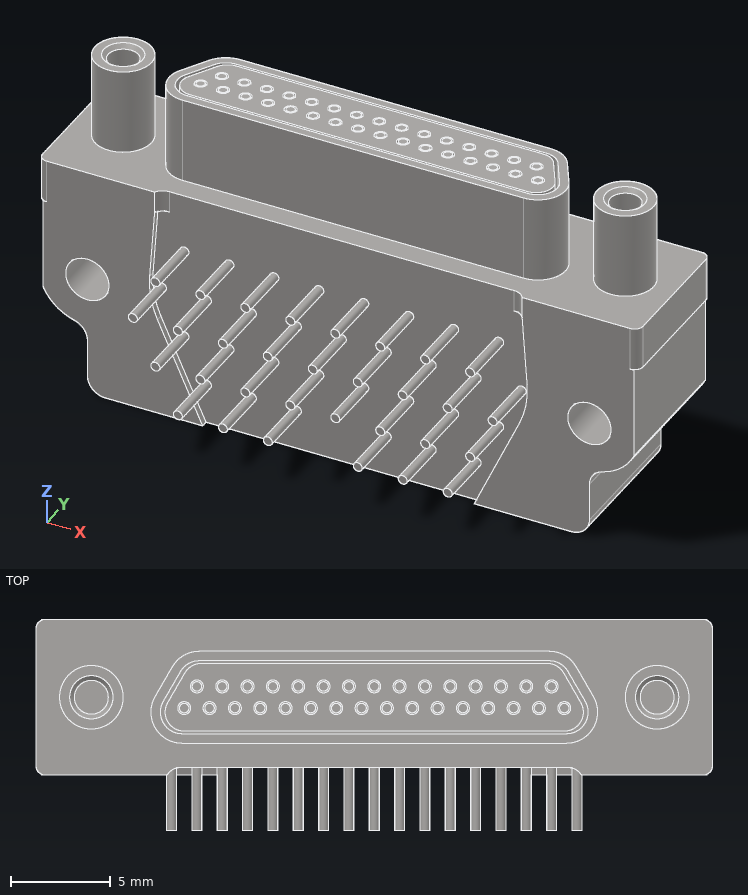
import cadquery as cq
import math


flange_length = 33.9
flange_height = 2.45
flange_corner_radius = 0.47
depth = 7.8
face_y = -depth / 2
body_length = 33.37
body_height = 13.22

mount_x = 14.17
mount_hole_z = -6.4
mount_hole_diameter = 2.45
ear_radius = 2.78
leg_corner_radius = 1.02

recess_depth = 0.37
recess_mouth_half = 10.38
recess_mouth_height = 1.22
recess_mouth_radius = 0.75
recess_wide_half = 10.75
recess_wide_z = -6.45
recess_wide_radius = 5.1
recess_bottom_half = 7.65

mating_height = 4.8

post_diameter = 3.2
post_bore_diameter = 1.7
post_chamfer = 0.25

d_half_height = 0.75
d_wide_half = 9.63
d_side_angle = 30.0
shell_radius = 1.55
shell_wall = 0.47
insert_gap = 0.15
insert_end_setback = 0.1

pin_diameter = 0.5
pin_length = 2.78
longest_pin_row = 9
pin_row_span = 20.3
pin_pitch = pin_row_span / (longest_pin_row - 1)
first_pin_row_z = -3.32

contact_pitch = pin_pitch / 2
contact_row_y = 0.55
contacts_in_narrow_row = 15
contacts_in_wide_row = 16
contact_diameter = 0.47
contact_groove_diameter = 0.65
contact_groove_depth = 0.35


def xz_prism(outline_points, y_start, y_end):
    """Straight-sided prism through Y with a closed XZ outline."""
    outline = cq.Workplane("XZ", origin=(0, y_start, 0)).polyline(outline_points).close()
    return outline.extrude(y_start - y_end)


def d_prism(radius, height, wide_half=d_wide_half):
    """D-shaped prism standing on the flange face."""
    narrow_half = wide_half - 2 * d_half_height * math.tan(math.radians(d_side_angle))
    corner_centres = [
        (-wide_half, -d_half_height),
        (wide_half, -d_half_height),
        (narrow_half, d_half_height),
        (-narrow_half, d_half_height),
    ]
    outline = cq.Workplane("XY").polyline(corner_centres).close().offset2D(radius)
    return outline.extrude(height)


def make_flange():
    """Plate with rounded corners behind the mating face."""
    flange = cq.Workplane("XY").rect(flange_length, depth).extrude(-flange_height)
    return flange.edges("|Z").fillet(flange_corner_radius)


def make_lower_body():
    """Ears and narrower leg; concave arcs blend each ear into the side of the leg."""
    side = body_length / 2
    ear_start_z = mount_hole_z - math.sqrt(ear_radius**2 - (side - mount_x) ** 2)
    blend_x = mount_x + leg_corner_radius
    blend_reach = ear_radius + leg_corner_radius
    blend_z = mount_hole_z - math.sqrt(blend_reach**2 - leg_corner_radius**2)
    ear_share = ear_radius / blend_reach
    ear_end = (
        mount_x + ear_share * (blend_x - mount_x),
        mount_hole_z + ear_share * (blend_z - mount_hole_z),
    )

    half_outline = (
        cq.Workplane("XZ", origin=(0, depth / 2, 0))
        .moveTo(0, -flange_height)
        .lineTo(side, -flange_height)
        .lineTo(side, ear_start_z)
        .radiusArc(ear_end, ear_radius)
        .radiusArc((mount_x, blend_z), -leg_corner_radius)
        .lineTo(mount_x, -body_height + leg_corner_radius)
        .radiusArc((mount_x - leg_corner_radius, -body_height), leg_corner_radius)
        .lineTo(0, -body_height)
        .close()
    )
    half = half_outline.extrude(depth)
    return half.union(half.mirror("YZ"))


def make_recess():
    """Hollow in the pin face: a mouth through the flange edge, flaring and tapering below it."""
    floor_y = face_y + recess_depth
    outline = [
        (-recess_mouth_half, -recess_mouth_height),
        (recess_mouth_half, -recess_mouth_height),
        (recess_wide_half, recess_wide_z),
        (recess_bottom_half, -body_height),
        (-recess_bottom_half, -body_height),
        (-recess_wide_half, recess_wide_z),
    ]
    lower = xz_prism(outline, floor_y, face_y)
    lower = lower.edges("|Y").edges("<X or >X").fillet(recess_wide_radius)

    mouth_rise = recess_mouth_radius - recess_depth
    floor_half = recess_mouth_half - math.sqrt(recess_mouth_radius**2 - mouth_rise**2)
    mouth = (
        cq.Workplane("XY")
        .moveTo(-recess_mouth_half, face_y)
        .radiusArc((-floor_half, floor_y), recess_mouth_radius)
        .lineTo(floor_half, floor_y)
        .radiusArc((recess_mouth_half, face_y), recess_mouth_radius)
        .close()
        .extrude(-recess_mouth_height)
    )
    return lower.union(mouth)


def make_mount_holes():
    """Cutters for the cross holes through the ears."""
    holes = cq.Workplane("XZ", origin=(0, depth / 2, 0))
    holes = holes.pushPoints([(-mount_x, mount_hole_z), (mount_x, mount_hole_z)])
    return holes.circle(mount_hole_diameter / 2).extrude(depth)


def make_post(x):
    """Post with a blind bore chamfered at its mouth."""
    post = cq.Workplane("XY").center(x, 0).circle(post_diameter / 2).extrude(mating_height)
    bore = cq.Workplane("XY").center(x, 0).circle(post_bore_diameter / 2).extrude(mating_height)
    bore_mouth = cq.selectors.RadiusNthSelector(0)
    return post.cut(bore).faces(">Z").edges(bore_mouth).chamfer(post_chamfer)


def make_shell():
    """D-shaped wall whose pocket reaches down to the flange face."""
    pocket = d_prism(shell_radius - shell_wall, mating_height)
    return d_prism(shell_radius, mating_height).cut(pocket)


def row_positions(count):
    """Centred X positions, in pitches, of a row of pins or contacts."""
    return [index - (count - 1) / 2 for index in range(count)]


def make_pins():
    """Staggered rows of pins standing on the recess floor; the last row lacks its middle pin."""
    middle_gap_row = [step for step in row_positions(longest_pin_row - 2) if step != 0]
    short_row = row_positions(longest_pin_row - 1)
    rows = [short_row, row_positions(longest_pin_row), short_row, middle_gap_row]
    points = [
        (step * pin_pitch, first_pin_row_z - row * pin_pitch)
        for row, steps in enumerate(rows)
        for step in steps
    ]
    pins = cq.Workplane("XZ", origin=(0, face_y + recess_depth, 0)).pushPoints(points)
    return pins.circle(pin_diameter / 2).extrude(recess_depth + pin_length)


def make_housing():
    """Flange, lower body, posts, shell and pins as one solid."""
    housing = make_flange().union(make_lower_body())
    housing = housing.cut(make_recess()).cut(make_mount_holes())
    for x in (-mount_x, mount_x):
        housing = housing.union(make_post(x))
    return housing.union(make_shell()).union(make_pins())


def make_insert():
    """Insert standing in the shell with a gap all round; a ring groove surrounds each contact."""
    radius = shell_radius - shell_wall - insert_gap
    insert = d_prism(radius, mating_height, d_wide_half - insert_end_setback)
    rows = [(contacts_in_narrow_row, contact_row_y), (contacts_in_wide_row, -contact_row_y)]
    for count, y in rows:
        points = [(step * contact_pitch, y) for step in row_positions(count)]
        grooves = (
            cq.Workplane("XY", origin=(0, 0, mating_height))
            .pushPoints(points)
            .circle(contact_groove_diameter / 2)
            .circle(contact_diameter / 2)
            .extrude(-contact_groove_depth)
        )
        insert = insert.cut(grooves)
    return insert


housing = make_housing()
insert = make_insert()
result = cq.Compound.makeCompound([*housing.solids().vals(), *insert.solids().vals()])